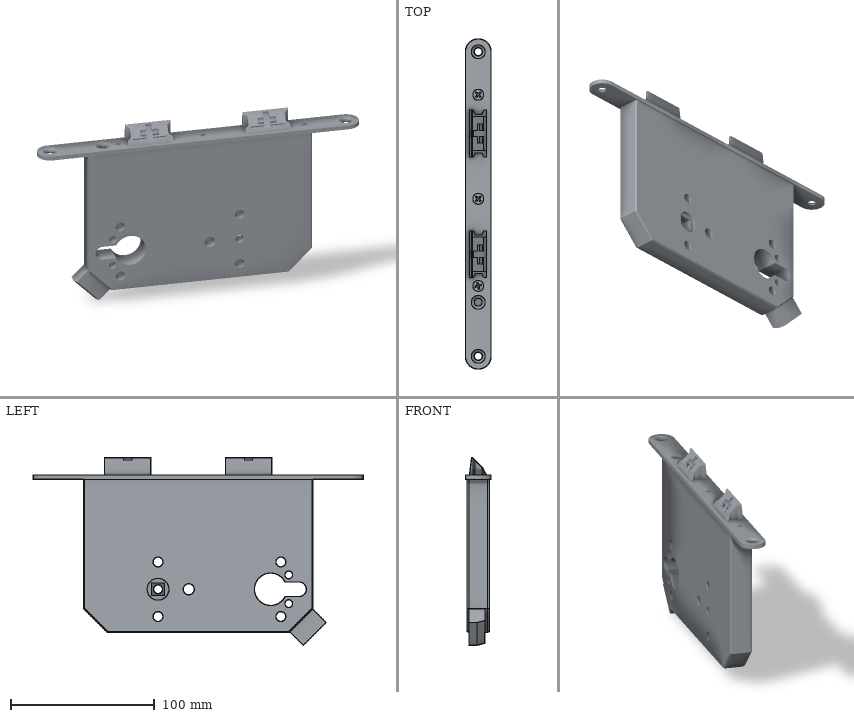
import cadquery as cq
import math


PLATE_WIDTH = 18.0
PLATE_LENGTH = 230.0
PLATE_THICKNESS = 3.0
END_HOLE_Y = 106.0
EXTRA_HOLE_Y = -68.4
PLATE_HOLE_DIAMETER = 5.5
PLATE_SINK_DIAMETER = 9.6
SINK_ANGLE = 90.0

SCREWS = [(76.1, 45.0), (3.6, 45.0), (-57.0, 15.0)]
SCREW_HEAD_DIAMETER = 7.6
SCREW_SHANK_DIAMETER = 3.8
SCREW_HEAD_HEIGHT = (SCREW_HEAD_DIAMETER - SCREW_SHANK_DIAMETER) / 2
CROSS_LENGTH = 4.6
CROSS_WIDTH = 1.0
CROSS_DEPTH = 1.2

CASE_THICKNESS = 16.0
CASE_LENGTH = 160.0
CASE_BOTTOM = -109.6
CORNER_CUT = 16.6
EDGE_BEVEL_X = 1.4
EDGE_BEVEL_INSET = 0.7

HOLE_LEVEL = -79.6
FOLLOWER_Y = 28.0
FOLLOWER_RECESS_DIAMETER = 15.2
FOLLOWER_RECESS_DEPTH = 2.0
SPINDLE_SQUARE = 9.0
SPINDLE_DEPTH = 6.0
FOLLOWER_BORE_DIAMETER = 6.0
FITTING_HOLE_OFFSET = 19.0
FITTING_HOLE_DIAMETER = 6.7
FITTING_HOLE_YS = [FOLLOWER_Y, -57.5]
CENTRE_HOLE_Y = 6.6
CENTRE_HOLE_DIAMETER = 7.5
CYLINDER_Y = -50.4
CYLINDER_RADIUS = 11.2
CYLINDER_SLOT_RADIUS = 5.0
CYLINDER_SLOT_END_Y = -70.2
ROSE_HOLE_Y = -63.0
ROSE_HOLE_OFFSET = 10.0
ROSE_HOLE_DIAMETER = 5.2

BOLT_X_MIN = -6.6
BOLT_X_MAX = 4.7
BOLT_BEVEL_X = -1.0
BOLT_BEVEL_DEPTH = 2.0
BOLT_WIDTH = 22.5
TIP_BOTTOM = -118.65

LATCH_YS = [49.1, -35.0]
LATCH_LENGTH = 32.4
LATCH_HEIGHT = 12.0
LATCH_BACK_X = -6.2
LATCH_FRONT_X = 5.8
TIP_X_MIN = -4.7
TIP_X_MAX = -4.0
LIP_X = 3.7
LIP_DROP = 0.9
LIP_UNDERCUT = 0.5
RIM_WIDTH = 4.3
NOTCH_DEPTH = 2.8
NOTCH_X_MIN = -3.5
NOTCH_X_MAX = 3.9
NOTCH_SLOPE = 1.4
RIM_DROP = 0.3
GROOVE_WIDTH = 4.3
GROOVE_X_MIN = -3.4
GROOVE_DROP = 1.6
SIDE_SPAN = 13.2
SIDE_X_MIN = -0.5
SIDE_X_MAX = 2.9
POCKET_X_MIN = 0.9
POCKET_FLOOR = 1.5
BACK_RELIEF_WIDTH = 5.8
BACK_RELIEF_Z = 10.4
BACK_RELIEF_X = -4.8


def case_block():
    """Case body with bevelled long edges and two cut lower corners."""
    half = CASE_LENGTH / 2
    shoulder = CASE_BOTTOM + CORNER_CUT
    outline = [
        (-half, 0),
        (half, 0),
        (half, shoulder),
        (half - CORNER_CUT, CASE_BOTTOM),
        (CORNER_CUT - half, CASE_BOTTOM),
        (-half, shoulder),
    ]
    middle = CASE_THICKNESS / 2 - EDGE_BEVEL_X
    taper = math.degrees(math.atan(EDGE_BEVEL_INSET / EDGE_BEVEL_X))
    core = cq.Workplane("YZ").polyline(outline).close().extrude(middle, both=True)
    bevel = cq.Workplane("YZ", origin=(middle, 0, 0)).polyline(outline).close()
    bevel = bevel.extrude(EDGE_BEVEL_X, taper=taper)
    block = core.union(bevel).union(bevel.mirror("YZ"))
    above_case = cq.Workplane("XY", origin=(0, 0, -PLATE_THICKNESS)).rect(PLATE_LENGTH, PLATE_LENGTH)
    return block.cut(above_case.extrude(PLATE_THICKNESS))


def cross_holes(points, diameter):
    """Round holes through the whole case thickness at (Y, height from the hole level)."""
    plane = cq.Workplane("YZ", origin=(0, 0, HOLE_LEVEL))
    return plane.pushPoints(points).circle(diameter / 2).extrude(CASE_THICKNESS, both=True)


def cylinder_hole():
    """Keyhole-shaped opening for a profile cylinder."""
    plane = cq.Workplane("YZ", origin=(0, 0, HOLE_LEVEL))
    slot_length = CYLINDER_Y - CYLINDER_SLOT_END_Y
    slot_centre = (CYLINDER_Y + CYLINDER_SLOT_END_Y) / 2
    slot = plane.center(slot_centre, 0).rect(slot_length, 2 * CYLINDER_SLOT_RADIUS)
    return (
        slot.extrude(CASE_THICKNESS, both=True)
        .union(cross_holes([(CYLINDER_Y, 0)], 2 * CYLINDER_RADIUS))
        .union(cross_holes([(CYLINDER_SLOT_END_Y, 0)], 2 * CYLINDER_SLOT_RADIUS))
    )


def follower_recess():
    """Shallow round recess with a square spindle socket in its floor."""
    face = cq.Workplane("YZ", origin=(-CASE_THICKNESS / 2, FOLLOWER_Y, HOLE_LEVEL))
    recess = face.circle(FOLLOWER_RECESS_DIAMETER / 2).extrude(FOLLOWER_RECESS_DEPTH)
    socket = face.rect(SPINDLE_SQUARE, SPINDLE_SQUARE).extrude(FOLLOWER_RECESS_DEPTH + SPINDLE_DEPTH)
    return recess.union(socket)


def corner_bolt():
    """Bolt standing square on the cut corner, its end bevelled towards +X."""
    corner_centre_y = (CORNER_CUT - CASE_LENGTH) / 2
    corner_centre_z = CASE_BOTTOM + CORNER_CUT / 2
    reach = (corner_centre_z - TIP_BOTTOM) * math.sqrt(2) - BOLT_WIDTH / 2
    plane = cq.Plane(
        origin=(0, corner_centre_y, corner_centre_z),
        xDir=(1, 0, 0),
        normal=(0, 1, -1),
    )
    outline = [
        (BOLT_X_MIN, 0),
        (BOLT_X_MAX, 0),
        (BOLT_X_MAX, reach - BOLT_BEVEL_DEPTH),
        (BOLT_BEVEL_X, reach),
        (BOLT_X_MIN, reach),
    ]
    root = cq.Workplane(plane).center((BOLT_X_MIN + BOLT_X_MAX) / 2, -EDGE_BEVEL_INSET / 2)
    root = root.rect(BOLT_X_MAX - BOLT_X_MIN, EDGE_BEVEL_INSET).extrude(BOLT_WIDTH / 2, both=True)
    return cq.Workplane(plane).polyline(outline).close().extrude(BOLT_WIDTH / 2, both=True).union(root)


def latch_plan(y):
    """Latch seen along Z: a rectangle with a dovetail notch in each end."""
    half = LATCH_LENGTH / 2
    length_x = LATCH_FRONT_X - LATCH_BACK_X
    base = cq.Workplane("XY", origin=(0, y, -PLATE_THICKNESS))
    block = base.center((LATCH_BACK_X + LATCH_FRONT_X) / 2, 0).rect(length_x, LATCH_LENGTH)
    plan = block.extrude(PLATE_THICKNESS + LATCH_HEIGHT)
    for side in (-1, 1):
        notch = [
            (NOTCH_X_MIN, side * half),
            (NOTCH_X_MAX, side * half),
            (NOTCH_X_MAX - NOTCH_SLOPE, side * (half - NOTCH_DEPTH)),
            (NOTCH_X_MIN + NOTCH_SLOPE, side * (half - NOTCH_DEPTH)),
        ]
        opening = cq.Workplane("XY", origin=(0, y, 0)).polyline(notch).close()
        opening = opening.extrude(LATCH_HEIGHT, both=True)
        plan = plan.cut(opening)
    return plan


def along_y(points, y, width):
    """Prism with an XZ outline, centred on y."""
    return cq.Workplane("XZ", origin=(0, y, 0)).polyline(points).close().extrude(width / 2, both=True)


def ramp_height(x):
    """Height of the 45 degree latch ramp."""
    return LATCH_HEIGHT + TIP_X_MAX - x


def latch_outlines():
    """XZ outlines of the end rims and of the lipped ramp between them."""
    tip_and_back = [
        (TIP_X_MAX, LATCH_HEIGHT),
        (TIP_X_MIN, LATCH_HEIGHT),
        (LATCH_BACK_X, 0),
        (LATCH_BACK_X, -PLATE_THICKNESS),
        (LATCH_FRONT_X, -PLATE_THICKNESS),
        (LATCH_FRONT_X, 0),
    ]
    knee_x = LIP_X - LIP_UNDERCUT
    lip_z = ramp_height(LIP_X)
    rim = tip_and_back + [(knee_x, ramp_height(knee_x) - RIM_DROP)]
    ramp = tip_and_back + [(knee_x, lip_z - LIP_DROP), (LIP_X, lip_z)]
    return rim, ramp


def sunk_ramp(y, x_min, x_max, width):
    """Cutter whose floor runs parallel to the ramp, GROOVE_DROP below it."""
    outline = [
        (x_min, ramp_height(x_min) - GROOVE_DROP),
        (x_max, ramp_height(x_max) - GROOVE_DROP),
        (x_max, LATCH_HEIGHT),
        (x_min, LATCH_HEIGHT),
    ]
    return along_y(outline, y, width)


def deep_pockets(y):
    """Pair of flat-bottomed pockets, one on each side of the central groove."""
    length = SIDE_X_MAX - POCKET_X_MIN
    width = (SIDE_SPAN - GROOVE_WIDTH) / 2
    offset = (SIDE_SPAN + GROOVE_WIDTH) / 4
    floor = cq.Workplane("XY", origin=(POCKET_X_MIN + length / 2, y, POCKET_FLOOR))
    return floor.pushPoints([(0, -offset), (0, offset)]).rect(length, width).extrude(LATCH_HEIGHT)


def back_relief(y):
    """Shallow step in the back of the tip."""
    outline = [
        (LATCH_BACK_X, BACK_RELIEF_Z),
        (BACK_RELIEF_X, BACK_RELIEF_Z),
        (TIP_X_MIN, LATCH_HEIGHT),
        (LATCH_BACK_X, LATCH_HEIGHT),
    ]
    return along_y(outline, y, BACK_RELIEF_WIDTH)


def latch(y):
    """Sloped latch that rises through the faceplate."""
    rim_outline, ramp_outline = latch_outlines()
    profile = along_y(ramp_outline, y, LATCH_LENGTH - 2 * RIM_WIDTH)
    rim_offset = (LATCH_LENGTH - RIM_WIDTH) / 2
    for side in (-1, 1):
        profile = profile.union(along_y(rim_outline, y + side * rim_offset, RIM_WIDTH))
    return (
        latch_plan(y)
        .intersect(profile)
        .cut(sunk_ramp(y, GROOVE_X_MIN, LATCH_FRONT_X, GROOVE_WIDTH))
        .cut(sunk_ramp(y, SIDE_X_MIN, SIDE_X_MAX, SIDE_SPAN))
        .cut(deep_pockets(y))
        .cut(back_relief(y))
    )


def screw_blank(y):
    """Countersunk head flush with the faceplate, and its shank down to the case."""
    outline = [
        (0, 0),
        (SCREW_HEAD_DIAMETER / 2, 0),
        (SCREW_SHANK_DIAMETER / 2, -SCREW_HEAD_HEIGHT),
        (SCREW_SHANK_DIAMETER / 2, -PLATE_THICKNESS),
        (0, -PLATE_THICKNESS),
    ]
    return cq.Workplane("XZ", origin=(0, y, 0)).polyline(outline).close().revolve(360, (0, 0), (0, 1))


def screw(y, turn):
    """Screw with a cross recess turned about its axis."""
    face = cq.Workplane("XY", origin=(0, y, 0))
    arm = face.rect(CROSS_LENGTH, CROSS_WIDTH).extrude(-CROSS_DEPTH)
    cross = arm.union(face.rect(CROSS_WIDTH, CROSS_LENGTH).extrude(-CROSS_DEPTH))
    return screw_blank(y).cut(cross.rotate((0, y, 0), (0, y, 1), turn))


latches = [latch(y) for y in LATCH_YS]
case = case_block().union(corner_bolt())
for latch_body in latches:
    case = case.union(latch_body)

fitting_points = [(y, side * FITTING_HOLE_OFFSET) for y in FITTING_HOLE_YS for side in (-1, 1)]
rose_points = [(ROSE_HOLE_Y, side * ROSE_HOLE_OFFSET) for side in (-1, 1)]
case = (
    case.cut(cross_holes(fitting_points, FITTING_HOLE_DIAMETER))
    .cut(cross_holes(rose_points, ROSE_HOLE_DIAMETER))
    .cut(cross_holes([(CENTRE_HOLE_Y, 0)], CENTRE_HOLE_DIAMETER))
    .cut(cross_holes([(FOLLOWER_Y, 0)], FOLLOWER_BORE_DIAMETER))
    .cut(cylinder_hole())
    .cut(follower_recess())
)

plate_hole_points = [(0, END_HOLE_Y), (0, EXTRA_HOLE_Y), (0, -END_HOLE_Y)]
faceplate = (
    cq.Workplane("XY")
    .slot2D(PLATE_LENGTH, PLATE_WIDTH, 90)
    .extrude(-PLATE_THICKNESS)
    .faces(">Z")
    .workplane(origin=(0, 0, 0))
    .pushPoints(plate_hole_points)
    .cskHole(PLATE_HOLE_DIAMETER, PLATE_SINK_DIAMETER, SINK_ANGLE)
)
for latch_body in latches:
    faceplate = faceplate.cut(latch_body)
for screw_y, _ in SCREWS:
    faceplate = faceplate.cut(screw_blank(screw_y))

screws = [screw(screw_y, turn) for screw_y, turn in SCREWS]

result = cq.Compound.makeCompound([case.val(), faceplate.val(), *[body.val() for body in screws]])